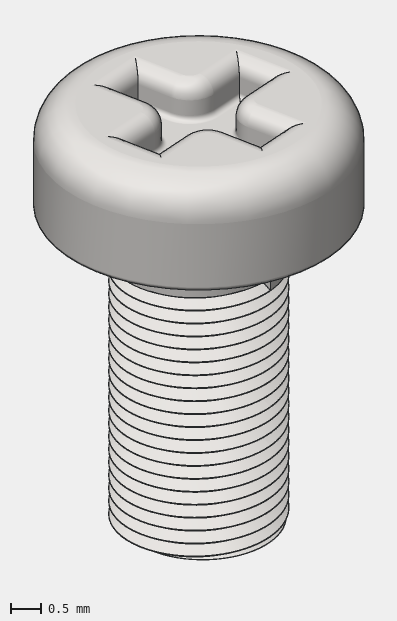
import cadquery as cq

head_diameter = 5.5
head_height = 2.0
head_top_radius = 0.7
head_bottom_radius = 0.08

shank_diameter = 3.0
shank_length = 6.0
shank_radius = shank_diameter / 2

pitch = 0.25
groove_width = 0.24
groove_depth = 0.19
groove_overshoot = 0.005
groove_end_depth = 0.935
section_turns = 3
section_count = 7

recess_depth = 0.7
arm_length = 3.0
arm_width = 0.6
inner_corner_radius = 0.5
rim_radius = 0.3
floor_radius = 0.1


def make_head():
    head = cq.Workplane("XY").circle(head_diameter / 2).extrude(head_height)
    head = head.faces(">Z").edges().fillet(head_top_radius)
    return head.faces("<Z").edges().fillet(head_bottom_radius)


def make_shank():
    shank = cq.Workplane("XY").circle(shank_radius).extrude(-shank_length)
    return shank.rotate((0, 0, 0), (0, 0, 1), 180)


def make_groove_section(top_z):
    """V-shaped cutter swept up the helix for a few turns, ending at top_z on the +X side."""
    section_height = section_turns * pitch
    start_z = top_z - section_height
    helix = cq.Wire.makeHelix(pitch, section_height, shank_radius, cq.Vector(0, 0, start_z))
    cutter_depth = groove_depth + groove_overshoot
    half_width = groove_width / 2 * cutter_depth / groove_depth
    outer_radius = shank_radius + groove_overshoot
    profile = cq.Workplane("XZ").polyline(
        [
            (shank_radius - groove_depth, start_z),
            (outer_radius, start_z + half_width),
            (outer_radius, start_z - half_width),
        ]
    ).close()
    return profile.sweep(cq.Workplane(helix), isFrenet=True)


def cut_thread(shank):
    """Cut the groove in sections that join end to end, from the shank end upwards."""
    for section in reversed(range(section_count)):
        top_z = -groove_end_depth - section * section_turns * pitch
        shank = shank.cut(make_groove_section(top_z))
    return shank


def make_cross():
    """Upright-walled cross with rounded inner corners and a rounded floor edge."""
    floor = cq.Workplane("XY").workplane(offset=head_height - recess_depth)
    along_x = floor.rect(arm_length, arm_width).extrude(recess_depth)
    along_y = floor.rect(arm_width, arm_length).extrude(recess_depth)
    cross = along_x.union(along_y)
    inner_corners = cq.selectors.BoxSelector(
        (-arm_width, -arm_width, 0), (arm_width, arm_width, head_height)
    )
    cross = cross.edges("|Z").edges(inner_corners).fillet(inner_corner_radius)
    return cross.faces("<Z").edges().fillet(floor_radius)


def round_recess_rim(head):
    rim_wire = head.faces(">Z").val().innerWires()[0]
    return head.newObject(rim_wire.Edges()).fillet(rim_radius)


head = round_recess_rim(make_head().cut(make_cross()))
shank = cut_thread(make_shank())
result = head.union(shank).solids()